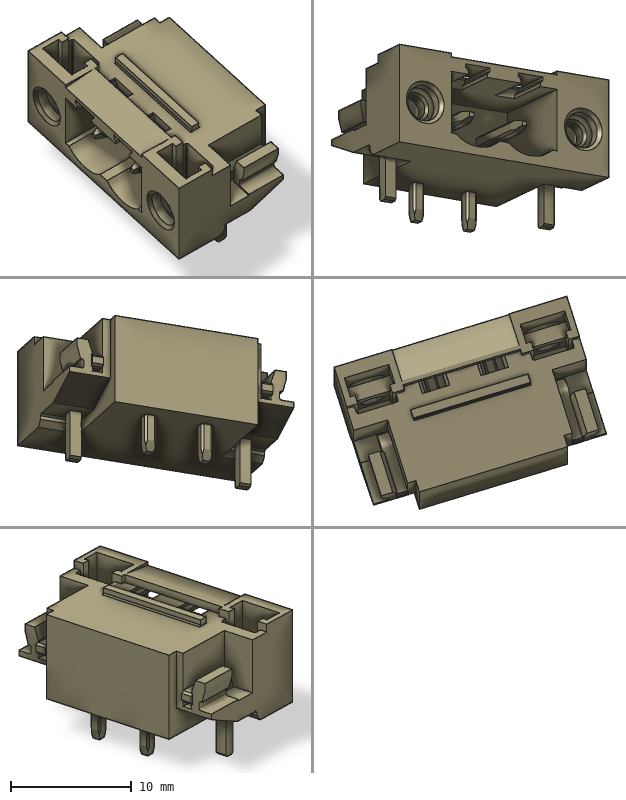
import cadquery as cq


PITCH = 5.08
POLE_X = [-PITCH / 2, PITCH / 2]
SIDES = [-1, 1]

HALF_WIDTH = 10.08
DEPTH = 12.0
BODY_TOP = 7.71
FLANGE_TOP = 8.43
FLANGE_DEPTH = 3.52
REAR_HALF_WIDTH = 6.42
WAIST_HALF_WIDTH = 7.13
WING_REAR = 11.0

SHELF_FRONT = 5.43
SHELF_Z = 2.86
WING_REAR_Z = 2.49
UNDERSIDE_Z = 1.01
RAMP_FRONT = 7.52
FOOT_TOP_REAR = 4.98
FOOT_FACE_Y = 4.84
FOOT_FACE_TOP = 0.85
FOOT_FACE_BOTTOM = 0.53
FOOT_TOE_Y = 4.38

CAVITY_HALF_WIDTH = PITCH
CAVITY_FLOOR = 1.53
CAVITY_CEILING = 6.85
CAVITY_DEPTH = 8.0
TROUGH_BOTTOM = 0.73
TROUGH_HALF_CHORD = 2.08

ROOF_HALF_WIDTH = PITCH
ROOF_REAR = 3.12
ROOF_SLOPE_REAR = 2.79
ROOF_FRONT_TOP = 8.11
CUT_CLEARANCE = 1.0

SLOT_DEPTH = 4.15
SLOT_TOP_HALF = 1.18
SLOT_NECK_HALF = 0.93
SLOT_LIP_Z = 7.44
SLOT_NECK_Z = 7.15

RAIL_FRONT = 5.29
RAIL_REAR = 6.02
RAIL_TOP = 8.31
RAIL_FOOT_FLARE = 0.12
RAIL_FOOT_HEIGHT = 0.14

SCREW_X = 1.5 * PITCH
AXIS_Z = 3.79
SCREW_HOLE_RADIUS = 1.51
SCREW_HOLE_CHAMFER = 0.3
NUT_SIZE = 3.86
NUT_FRONT = 1.53
POCKET_FRONT = 1.13
POCKET_REAR = 2.79
POCKET_FLOOR = AXIS_Z - NUT_SIZE / 2
GAP_WIDTH = 3.0
RELIEF_WIDTH = 3.6
RELIEF_REAR = 4.22
RELIEF_CORNER_RADIUS = 0.2
NUT_BORE_RADIUS = 1.01
NUT_BORE_CHAMFER = 0.24

CLIP_FRONT = 7.37
CLIP_LEDGE_Z = 2.99
CLIP_TOP = 5.6
CLIP_OUTER_X = 9.41
CLIP_OUTER_BOTTOM = 4.92
CLIP_LIP_X = 9.1
CLIP_LIP_Z = 3.8
CLIP_NECK_X = 8.8
CLIP_FILLET = 0.2
CLIP_TOP_INNER_X = 8.42
CLIP_INNER_X = 8.02
CLIP_INNER_SLOPE_Z = 4.45

LEG_BOTTOM = -3.2

PIN_SIZE = 1.02
PIN_EDGE_CHAMFER = 0.18
PIN_FRONT = 1.0
PIN_LEG_Y = 9.95
PIN_FRONT_TIP_SIZE = 0.4
PIN_FRONT_TIP_LENGTH = 1.3
PIN_LEG_TIP_SIZE = 0.66
PIN_LEG_TIP_LENGTH = 0.93

ANCHOR_SIZE = 1.0
ANCHOR_X = WAIST_HALF_WIDTH + ANCHOR_SIZE / 2
ANCHOR_BEND_INNER = 0.5
ANCHOR_BEND_OUTER = ANCHOR_BEND_INNER + ANCHOR_SIZE
ANCHOR_ARM_TOP = 4.32
ANCHOR_LEG_FRONT = 5.53
ANCHOR_REAR = 11.2
ANCHOR_TIP_CHAMFER = 0.2


def box(x0, x1, y0, y1, z0, z1):
    """Axis-aligned block between two corners."""
    return cq.Workplane("XY").box(x1 - x0, y1 - y0, z1 - z0, centered=False).translate((x0, y0, z0))


def extrude_y(outline_xz, y0, y1):
    """Extrude a closed XZ outline from y0 to y1."""
    return outline_xz.extrude(y0 - y1).translate((0, y0, 0))


def cylinder_y(radius, x, z, y0, y1):
    return extrude_y(cq.Workplane("XZ").center(x, z).circle(radius), y0, y1)


def cone_y(front_radius, rear_radius, x, z, y0, y1):
    """Frustum along +Y, used for countersinks."""
    cone = cq.Solid.makeCone(front_radius, rear_radius, y1 - y0, cq.Vector(x, y0, z), cq.Vector(0, 1, 0))
    return cq.Workplane(obj=cone)


def shell_block():
    """Flanges with wings, narrowing to the waist and the rear block."""
    wing_profile = [
        (0, 0),
        (0, FLANGE_TOP),
        (FLANGE_DEPTH, FLANGE_TOP),
        (FLANGE_DEPTH, BODY_TOP),
        (SHELF_FRONT, BODY_TOP),
        (SHELF_FRONT, SHELF_Z),
        (WING_REAR, SHELF_Z),
        (WING_REAR, WING_REAR_Z),
        (RAMP_FRONT, UNDERSIDE_Z),
        (FOOT_TOP_REAR, UNDERSIDE_Z),
        (FOOT_FACE_Y, FOOT_FACE_TOP),
        (FOOT_FACE_Y, FOOT_FACE_BOTTOM),
        (FOOT_TOE_Y, 0),
    ]
    wings = cq.Workplane("YZ").polyline(wing_profile).close().extrude(HALF_WIDTH, both=True)
    waist = box(-WAIST_HALF_WIDTH, WAIST_HALF_WIDTH, FLANGE_DEPTH, WING_REAR, SHELF_Z, BODY_TOP)
    rear = box(-REAR_HALF_WIDTH, REAR_HALF_WIDTH, 0, DEPTH, 0, BODY_TOP)
    return wings.union(waist).union(rear)


def roof_relief():
    """Space removed above the sloping roof between the flanges."""
    profile = [
        (0, ROOF_FRONT_TOP),
        (ROOF_SLOPE_REAR, FLANGE_TOP),
        (ROOF_REAR, FLANGE_TOP),
        (ROOF_REAR, BODY_TOP),
        (FLANGE_DEPTH, BODY_TOP),
        (FLANGE_DEPTH, FLANGE_TOP + CUT_CLEARANCE),
        (0, FLANGE_TOP + CUT_CLEARANCE),
    ]
    return cq.Workplane("YZ").polyline(profile).close().extrude(ROOF_HALF_WIDTH, both=True)


def plug_cavity():
    cavity = box(-CAVITY_HALF_WIDTH, CAVITY_HALF_WIDTH, 0, CAVITY_DEPTH, CAVITY_FLOOR, CAVITY_CEILING)
    for x in POLE_X:
        trough = (
            cq.Workplane("XZ")
            .moveTo(x - TROUGH_HALF_CHORD, CAVITY_FLOOR)
            .threePointArc((x, TROUGH_BOTTOM), (x + TROUGH_HALF_CHORD, CAVITY_FLOOR))
            .close()
        )
        cavity = cavity.union(extrude_y(trough, 0, CAVITY_DEPTH))
    return cavity


def coding_slot(x):
    """Dovetail slot, closed above by the roof and open to the body top behind it."""
    outline = cq.Workplane("XZ").polyline([
        (x - SLOT_TOP_HALF, BODY_TOP),
        (x - SLOT_TOP_HALF, SLOT_LIP_Z),
        (x - SLOT_NECK_HALF, SLOT_NECK_Z),
        (x - SLOT_NECK_HALF, CAVITY_CEILING),
        (x + SLOT_NECK_HALF, CAVITY_CEILING),
        (x + SLOT_NECK_HALF, SLOT_NECK_Z),
        (x + SLOT_TOP_HALF, SLOT_LIP_Z),
        (x + SLOT_TOP_HALF, BODY_TOP),
    ]).close()
    return extrude_y(outline, 0, SLOT_DEPTH)


def latching_rail():
    profile = [
        (RAIL_FRONT - RAIL_FOOT_FLARE, BODY_TOP),
        (RAIL_FRONT, BODY_TOP + RAIL_FOOT_HEIGHT),
        (RAIL_FRONT, RAIL_TOP),
        (RAIL_REAR, RAIL_TOP),
        (RAIL_REAR, BODY_TOP + RAIL_FOOT_HEIGHT),
        (RAIL_REAR + RAIL_FOOT_FLARE, BODY_TOP),
    ]
    return cq.Workplane("YZ").polyline(profile).close().extrude(ROOF_HALF_WIDTH, both=True)


def nut_pocket(x):
    """Pocket open at the top: nut space, narrower gap, then a rounded screw relief."""
    nut_space = box(x - NUT_SIZE / 2, x + NUT_SIZE / 2, POCKET_FRONT, POCKET_REAR, POCKET_FLOOR, FLANGE_TOP)
    gap = box(x - GAP_WIDTH / 2, x + GAP_WIDTH / 2, POCKET_REAR, FLANGE_DEPTH, POCKET_FLOOR, FLANGE_TOP)
    relief = (
        box(x - RELIEF_WIDTH / 2, x + RELIEF_WIDTH / 2, FLANGE_DEPTH, RELIEF_REAR, POCKET_FLOOR, BODY_TOP)
        .edges("|Z and >Y")
        .fillet(RELIEF_CORNER_RADIUS)
    )
    return nut_space.union(gap).union(relief)


def screw_hole(x):
    hole = cylinder_y(SCREW_HOLE_RADIUS, x, AXIS_Z, 0, POCKET_FRONT)
    mouth_radius = SCREW_HOLE_RADIUS + SCREW_HOLE_CHAMFER
    countersink = cone_y(mouth_radius, SCREW_HOLE_RADIUS, x, AXIS_Z, 0, SCREW_HOLE_CHAMFER)
    return hole.union(countersink)


def side_clip(side):
    """Hooked strip on the wing shelf, with a rounded groove at its outer foot."""
    clip = (
        cq.Workplane("XZ")
        .moveTo(HALF_WIDTH, SHELF_Z)
        .lineTo(HALF_WIDTH, CLIP_LEDGE_Z)
        .lineTo(CLIP_NECK_X + CLIP_FILLET, CLIP_LEDGE_Z)
        .radiusArc((CLIP_NECK_X, CLIP_LEDGE_Z + CLIP_FILLET), CLIP_FILLET)
        .lineTo(CLIP_NECK_X, CLIP_LIP_Z - CLIP_FILLET)
        .radiusArc((CLIP_NECK_X + CLIP_FILLET, CLIP_LIP_Z), CLIP_FILLET)
        .lineTo(CLIP_LIP_X, CLIP_LIP_Z)
        .lineTo(CLIP_OUTER_X, CLIP_OUTER_BOTTOM)
        .lineTo(CLIP_OUTER_X, CLIP_TOP)
        .lineTo(CLIP_TOP_INNER_X, CLIP_TOP)
        .lineTo(CLIP_INNER_X, CLIP_INNER_SLOPE_Z)
        .lineTo(CLIP_INNER_X, SHELF_Z)
        .close()
    )
    right_clip = extrude_y(clip, CLIP_FRONT, WING_REAR)
    return right_clip if side > 0 else right_clip.mirror("YZ")


def pin_bar(length, tip_size, tip_length):
    """Square bar along +Z from the origin with chamfered edges and a tapered upper tip."""
    bar = (
        cq.Workplane("XY")
        .rect(PIN_SIZE, PIN_SIZE)
        .extrude(length)
        .edges("|Z")
        .chamfer(PIN_EDGE_CHAMFER)
    )
    shaft = cq.Workplane("XY").rect(PIN_SIZE, PIN_SIZE).extrude(length - tip_length)
    tip = (
        cq.Workplane("XY", origin=(0, 0, length - tip_length))
        .rect(PIN_SIZE, PIN_SIZE)
        .workplane(offset=tip_length)
        .rect(tip_size, tip_size)
        .loft(ruled=True)
    )
    return bar.intersect(shaft.union(tip))


def contact_pin(x):
    """Right-angle pin: contact arm toward the mating face, solder leg downward."""
    arm_rear = PIN_LEG_Y + PIN_SIZE / 2
    leg_top = AXIS_Z + PIN_SIZE / 2
    arm = pin_bar(arm_rear - PIN_FRONT, PIN_FRONT_TIP_SIZE, PIN_FRONT_TIP_LENGTH)
    arm = arm.rotate((0, 0, 0), (1, 0, 0), 90).translate((x, arm_rear, AXIS_Z))
    leg = pin_bar(leg_top - LEG_BOTTOM, PIN_LEG_TIP_SIZE, PIN_LEG_TIP_LENGTH)
    leg = leg.rotate((0, 0, 0), (1, 0, 0), 180).translate((x, PIN_LEG_Y, leg_top))
    return arm.union(leg)


def solder_anchor(x):
    leg_rear = ANCHOR_LEG_FRONT + ANCHOR_SIZE
    bend_y = leg_rear + ANCHOR_BEND_INNER
    arm_bottom = ANCHOR_ARM_TOP - ANCHOR_SIZE
    bend_z = arm_bottom - ANCHOR_BEND_INNER
    return (
        cq.Workplane("YZ")
        .moveTo(ANCHOR_LEG_FRONT, LEG_BOTTOM)
        .lineTo(ANCHOR_LEG_FRONT, bend_z)
        .radiusArc((bend_y, ANCHOR_ARM_TOP), ANCHOR_BEND_OUTER)
        .lineTo(ANCHOR_REAR, ANCHOR_ARM_TOP)
        .lineTo(ANCHOR_REAR, arm_bottom)
        .lineTo(bend_y, arm_bottom)
        .radiusArc((leg_rear, bend_z), -ANCHOR_BEND_INNER)
        .lineTo(leg_rear, LEG_BOTTOM)
        .close()
        .extrude(ANCHOR_SIZE / 2, both=True)
        .faces("<Z")
        .edges("|X")
        .chamfer(ANCHOR_TIP_CHAMFER)
        .faces(">Y")
        .edges("|X")
        .chamfer(ANCHOR_TIP_CHAMFER)
        .translate((x, 0, 0))
    )


def square_nut(x):
    """Nut held in the pocket, with its bore countersunk at the front."""
    half = NUT_SIZE / 2
    nut = box(x - half, x + half, NUT_FRONT, POCKET_REAR, AXIS_Z - half, AXIS_Z + half)
    bore = cylinder_y(NUT_BORE_RADIUS, x, AXIS_Z, NUT_FRONT, POCKET_REAR)
    mouth_radius = NUT_BORE_RADIUS + NUT_BORE_CHAMFER
    countersink = cone_y(mouth_radius, NUT_BORE_RADIUS, x, AXIS_Z, NUT_FRONT, NUT_FRONT + NUT_BORE_CHAMFER)
    return nut.cut(bore).cut(countersink)


pins = [contact_pin(x) for x in POLE_X]
anchors = [solder_anchor(side * ANCHOR_X) for side in SIDES]
nuts = [square_nut(side * SCREW_X) for side in SIDES]

housing = shell_block().cut(roof_relief()).union(latching_rail()).cut(plug_cavity())
for x in POLE_X:
    housing = housing.cut(coding_slot(x))
for side in SIDES:
    housing = housing.union(side_clip(side))
    housing = housing.cut(nut_pocket(side * SCREW_X)).cut(screw_hole(side * SCREW_X))
for insert in pins + anchors:
    housing = housing.cut(insert)

bodies = [housing] + pins + anchors + nuts
result = cq.Compound.makeCompound([body.solids().val() for body in bodies])